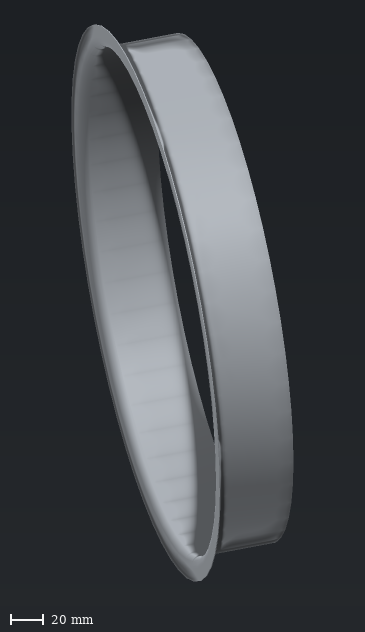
import cadquery as cq
import math

flange_diameter = 345.5
sleeve_outer_diameter = 316.5
sleeve_inner_diameter = 315.5
collar_length = 50.5
bend_inside_radius = 7.0

flange_radius = flange_diameter / 2
outer_radius = sleeve_outer_diameter / 2
inner_radius = sleeve_inner_diameter / 2
sheet_thickness = outer_radius - inner_radius
bend_outside_radius = bend_inside_radius - sheet_thickness

bend_center_x = inner_radius + bend_inside_radius
bend_center_y = bend_inside_radius


def bend_midpoint(radius):
    """Middle of the quarter arc that joins the flange to the sleeve."""
    offset = radius * math.sqrt(0.5)
    return (bend_center_x - offset, bend_center_y - offset)


section = (
    cq.Workplane("XY")
    .moveTo(flange_radius, 0)
    .lineTo(bend_center_x, 0)
    .threePointArc(bend_midpoint(bend_inside_radius), (inner_radius, bend_center_y))
    .lineTo(inner_radius, collar_length)
    .lineTo(outer_radius, collar_length)
    .lineTo(outer_radius, bend_center_y)
    .threePointArc(bend_midpoint(bend_outside_radius), (bend_center_x, sheet_thickness))
    .lineTo(flange_radius, sheet_thickness)
    .close()
)

result = section.revolve(360, (0, 0, 0), (0, 1, 0))